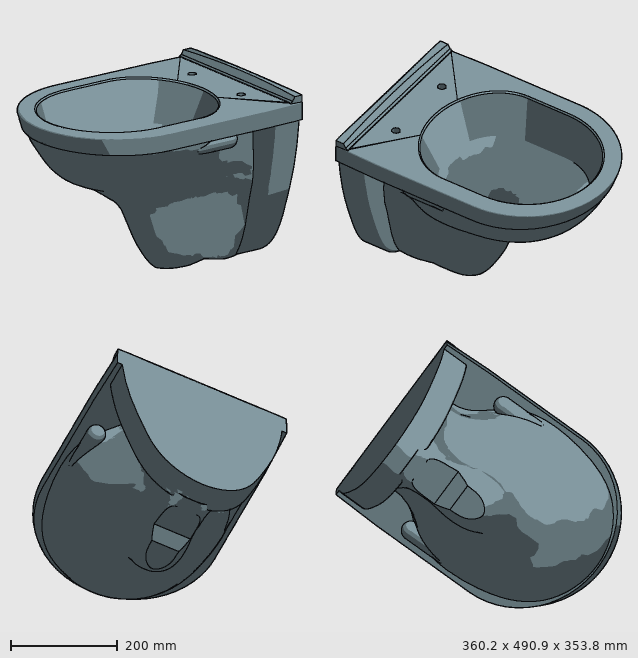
import cadquery as cq
import math


total_width = 360.16
total_depth = 490.96
total_height = 353.74
ledge_height = 17.2
bottom_z = ledge_height - total_height

rim_half_width = total_width / 2
rim_back_half_width = 177.0
rim_taper_end_y = -95.0
rim_arc_y = rim_half_width - total_depth
rim_thickness = 36.0
rim_front_draft = 12.0
nose_fillet_loss = 1.8
rim_top_fillet = 4.0

ledge_half_width = 176.0
ledge_top_depth = 14.0
ledge_slope_depth = 22.0
ledge_slope_end_z = 4.0
ledge_foot_depth = 27.0
ledge_corner = 4.0
ledge_crown = 5.0

deck_rise = 1.6
deck_front_y = -114.0
deck_back_half_width = 172.0
deck_front_half_width = 63.0
seat_hole_diameter = 16.0
seat_hole_spacing = 155.0
seat_hole_y = -69.5
seat_hole_depth = 30.0

panel_depth = 54.0
panel_edge_fillet = 5.0
panel_outline = [
    (168.0, -30.0),
    (152.0, -129.0),
    (126.0, -212.0),
    (75.0, -305.0),
]

plateau_half_width = 100.0

body_sections = [
    (-20.0, 165.0, -305.0, -475.0, plateau_half_width, -112.0, plateau_half_width),
    (-58.0, 160.0, -295.0, -467.0, plateau_half_width, -112.0, plateau_half_width),
    (-90.0, 147.0, -280.0, -447.0, plateau_half_width, -112.0, plateau_half_width),
    (-120.0, 131.0, -265.0, -420.0, plateau_half_width, -112.0, plateau_half_width),
    (-139.0, 106.0, -240.0, -386.0, 86.0, -113.0, 108.0),
    (-169.0, 68.0, -215.0, -331.0, 63.0, -122.0, 120.0),
    (-204.0, 57.0, -205.0, -288.0, 51.0, -134.0, 116.0),
    (-244.0, 54.0, -200.0, -267.0, 49.0, -142.0, 98.0),
    (-291.0, 50.0, -186.0, -244.0, 47.0, -140.0, 74.0),
    (-319.0, 40.0, -175.0, -226.0, 40.0, -125.0, 48.0),
    (bottom_z, 16.0, -150.0, -197.0, 18.0, -100.0, 18.0),
]
body_back_y = -40.0

underside_start_y = -66.0
underside_peak_y = -127.0
underside_peak_z = -323.0
foot_start_y = -156.0
foot_z = -333.0
trim_clearance = 5.0

bar_radius = 18.0
bar_x = 147.0
bar_z = -52.0
bar_rear_y = -152.0
bar_front_y = -228.0

lip_offset = 3.0
lip_depth = 3.0
lip_clearance = 1.0

opening = (-lip_depth, 142.0, -106.0, -220.0, -311.0, -456.0)
basin_ledge = (-78.0, 111.0, -139.0, -235.0, -325.0, -432.0)
basin_sections = [
    basin_ledge,
    (-100.0, 94.0, -150.0, -235.0, -305.0, -383.0),
    (-160.0, 50.0, -168.0, -215.0, -255.0, -310.0),
    (-200.0, 42.0, -180.0, -215.0, -230.0, -262.0),
    (-235.0, 38.0, -187.0, -212.0, -222.0, -250.0),
]


def mirrored(points):
    """Right-hand points followed by their mirror images, in reverse order."""
    return [(-x, y) for x, y in reversed(points)]


def rim_outline(plane_z, front_y):
    """Closed wire with straight sides and an elliptical nose."""
    return (
        cq.Workplane("XY", origin=(0, 0, plane_z))
        .moveTo(-rim_half_width, rim_arc_y)
        .lineTo(-rim_half_width, rim_taper_end_y)
        .lineTo(-rim_back_half_width, 0)
        .lineTo(rim_back_half_width, 0)
        .lineTo(rim_half_width, rim_taper_end_y)
        .lineTo(rim_half_width, rim_arc_y)
        .ellipseArc(rim_half_width, rim_arc_y - front_y, 180, 360, sense=-1)
        .close()
        .wires()
        .val()
    )


def make_rim():
    top = rim_outline(0, -total_depth - nose_fillet_loss)
    bottom = rim_outline(-rim_thickness, rim_front_draft - total_depth)
    slab = cq.Workplane(cq.Solid.makeLoft([bottom, top], True))
    return slab.faces(">Z").edges("not >Y").fillet(rim_top_fillet)


def make_ledge():
    side = (
        cq.Workplane("YZ")
        .moveTo(0, -rim_thickness / 2)
        .lineTo(0, ledge_height - ledge_corner)
        .lineTo(-ledge_corner, ledge_height)
        .lineTo(-ledge_top_depth, ledge_height)
        .lineTo(-ledge_slope_depth, ledge_slope_end_z)
        .lineTo(-ledge_foot_depth, 0)
        .lineTo(-ledge_foot_depth, -rim_thickness / 2)
        .close()
        .extrude(ledge_half_width, both=True)
    )
    crown = (
        cq.Workplane("XZ")
        .moveTo(-ledge_half_width, -rim_thickness)
        .lineTo(-ledge_half_width, ledge_height - ledge_crown)
        .threePointArc((0, ledge_height), (ledge_half_width, ledge_height - ledge_crown))
        .lineTo(ledge_half_width, -rim_thickness)
        .close()
        .extrude(ledge_foot_depth)
    )
    return side.intersect(crown)


def make_deck():
    plan = (
        cq.Workplane("XY")
        .workplane(offset=-rim_thickness / 2)
        .polyline([
            (-deck_back_half_width, -ledge_foot_depth),
            (deck_back_half_width, -ledge_foot_depth),
            (deck_front_half_width, deck_front_y),
            (-deck_front_half_width, deck_front_y),
        ])
        .close()
        .extrude(rim_thickness)
    )
    wedge = (
        cq.Workplane("YZ")
        .polyline([
            (-ledge_foot_depth, deck_rise),
            (deck_front_y, 0),
            (deck_front_y, -rim_thickness / 2),
            (-ledge_foot_depth, -rim_thickness / 2),
        ])
        .close()
        .extrude(rim_half_width, both=True)
    )
    return plan.intersect(wedge)


def make_panel():
    outline = panel_outline + [(0, bottom_z)] + mirrored(panel_outline)
    return (
        cq.Workplane("XZ")
        .moveTo(*outline[0])
        .spline(outline[1:], includeCurrent=True)
        .close()
        .extrude(panel_depth)
        .faces("<Y")
        .edges("not >Z")
        .fillet(panel_edge_fillet)
    )


def body_section(z, half_width, wide_y, front_y, waist, waist_y, root):
    """Waisted plan section: wide at the panel, narrow behind the bowl, round in front."""
    diagonal = math.sqrt(0.5)
    right = [
        (root, body_back_y),
        (waist, waist_y),
        (
            waist + (half_width - waist) * diagonal,
            waist_y + (wide_y - waist_y) * (1 - diagonal),
        ),
        (half_width, wide_y),
        (half_width * diagonal, wide_y + (front_y - wide_y) * diagonal),
    ]
    points = right + [(0, front_y)] + mirrored(right)
    return (
        cq.Workplane("XY", origin=(0, 0, z))
        .moveTo(*points[0])
        .spline(points[1:], includeCurrent=True)
        .close()
        .wires()
        .val()
    )


def make_body():
    wires = [body_section(*section) for section in body_sections]
    body = cq.Workplane(cq.Solid.makeLoft(wires, False))
    hollow = (
        cq.Workplane("YZ")
        .moveTo(underside_start_y, bottom_z - trim_clearance)
        .lineTo(underside_start_y, bottom_z)
        .lineTo(underside_peak_y, underside_peak_z)
        .lineTo(foot_start_y, foot_z)
        .lineTo(-total_depth, foot_z)
        .lineTo(-total_depth, bottom_z - trim_clearance)
        .close()
        .extrude(rim_half_width, both=True)
    )
    return body.cut(hollow)


def make_bar(x):
    """Round bar along Y with ball ends."""
    bar = (
        cq.Workplane("XZ", origin=(x, bar_rear_y, bar_z))
        .circle(bar_radius)
        .extrude(bar_rear_y - bar_front_y)
    )
    for end_y in (bar_rear_y, bar_front_y):
        bar = bar.union(cq.Workplane("XY", origin=(x, end_y, bar_z)).sphere(bar_radius))
    return bar


def basin_section(z, half_width, rear_y, rear_straight_y, front_straight_y, front_y):
    """Closed oval: half ellipses at rear and front joined by straight sides."""
    rear_radius = rear_y - rear_straight_y
    front_radius = front_straight_y - front_y
    return (
        cq.Workplane("XY", origin=(0, 0, z))
        .moveTo(half_width, rear_straight_y)
        .lineTo(half_width, front_straight_y)
        .ellipseArc(half_width, front_radius, 180, 360, sense=-1)
        .lineTo(-half_width, rear_straight_y)
        .ellipseArc(half_width, rear_radius, 0, 180, sense=-1)
        .close()
        .wires()
        .val()
    )


def make_basin():
    half_width, rear_y, rear_straight_y, front_straight_y, front_y = opening[1:]
    flare = lip_offset * (lip_depth + lip_clearance) / lip_depth
    lip_top = basin_section(
        lip_clearance,
        half_width + flare,
        rear_y + flare,
        rear_straight_y,
        front_straight_y,
        front_y - flare,
    )
    lip = cq.Solid.makeLoft([basin_section(*opening), lip_top], True)
    throat = cq.Solid.makeLoft([basin_section(*basin_ledge), basin_section(*opening)], True)
    bowl = cq.Solid.makeLoft([basin_section(*section) for section in basin_sections], False)
    return cq.Workplane(throat).union(cq.Workplane(bowl)).union(cq.Workplane(lip))


def make_seat_holes():
    half_spacing = seat_hole_spacing / 2
    return (
        cq.Workplane("XY", origin=(0, 0, ledge_height))
        .pushPoints([(-half_spacing, seat_hole_y), (half_spacing, seat_hole_y)])
        .circle(seat_hole_diameter / 2)
        .extrude(-(ledge_height + seat_hole_depth))
    )


bars = [make_bar(x) for x in (-bar_x, bar_x)]

shell = make_rim().union(make_ledge()).union(make_deck())
shell = shell.union(make_panel()).union(make_body())
for bar in bars:
    shell = shell.union(bar)
result = shell.cut(make_basin()).cut(make_seat_holes())